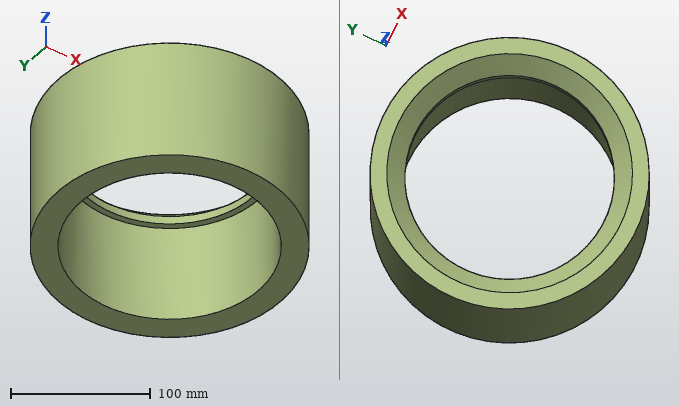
import cadquery as cq

outer_diameter = 200.0
height = 106.0
mouth_diameter = 176.0
throat_diameter = 150.0
throat_length = 7.0
bore_diameter = 160.0

throat_top_z = height - (mouth_diameter - throat_diameter) / 2
bore_top_z = throat_top_z - throat_length

section = (
    cq.Workplane("XZ")
    .moveTo(bore_diameter / 2, 0)
    .lineTo(outer_diameter / 2, 0)
    .lineTo(outer_diameter / 2, height)
    .lineTo(mouth_diameter / 2, height)
    .lineTo(throat_diameter / 2, throat_top_z)
    .lineTo(throat_diameter / 2, bore_top_z)
    .lineTo(bore_diameter / 2, bore_top_z)
    .close()
)
result = section.revolve(360, (0, 0, 0), (0, 1, 0))